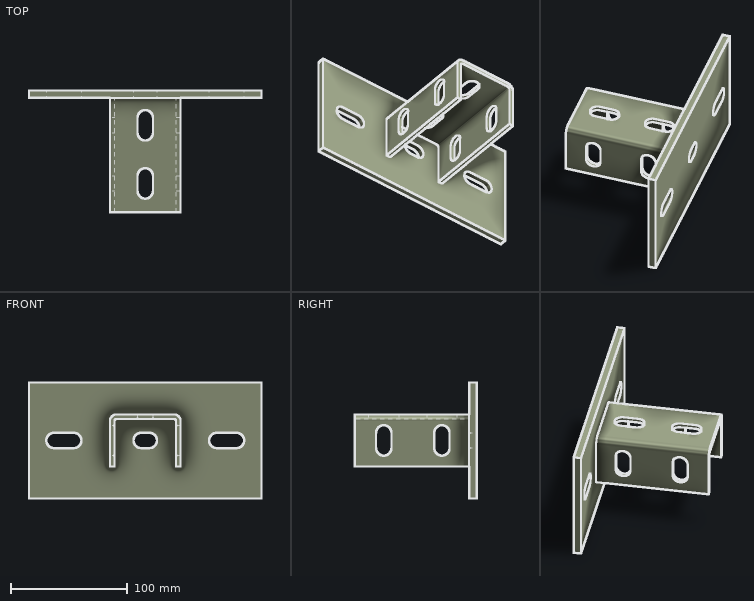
import cadquery as cq

total_depth = 105.0

plate_width = 200.0
plate_height = 100.0
plate_thickness = 6.5
slot_width = 13.0
side_slot_length = 30.0
side_slot_offset = 70.0
centre_slot_length = 20.0

channel_length = total_depth - plate_thickness
channel_width = 61.0
channel_height = 45.0
channel_wall = 4.0
bend_outer_radius = 6.0
bend_inner_radius = bend_outer_radius - channel_wall
channel_slot_length = 26.0
channel_slot_count = 2
channel_slot_pitch = 50.0
end_to_first_slot = 25.0
channel_slot_places = [
    -channel_length + end_to_first_slot + i * channel_slot_pitch
    for i in range(channel_slot_count)
]


def make_plate():
    """Flat plate with a row of three horizontal slots."""
    plate = cq.Workplane("XY").box(
        plate_width, plate_thickness, plate_height, centered=(True, False, True)
    )
    slots = [
        (-side_slot_offset, side_slot_length),
        (0, centre_slot_length),
        (side_slot_offset, side_slot_length),
    ]
    for x, length in slots:
        cutter = (
            cq.Workplane("XZ")
            .center(x, 0)
            .slot2D(length, slot_width)
            .extrude(-plate_thickness)
        )
        plate = plate.cut(cutter)
    return plate


def channel_block(width, height, bottom, bend_radius):
    """Bar along the channel with its two upper long edges rounded."""
    return (
        cq.Workplane("XY")
        .box(width, channel_length, height, centered=(True, False, False))
        .translate((0, -channel_length, bottom))
        .edges("|Y and >Z")
        .fillet(bend_radius)
    )


def make_channel():
    """Bent sheet channel with two slots in its top and two through both sides."""
    bottom = -channel_height / 2
    outside = channel_block(channel_width, channel_height, bottom, bend_outer_radius)
    inside = channel_block(
        channel_width - 2 * channel_wall,
        channel_height - channel_wall,
        bottom,
        bend_inner_radius,
    )
    channel = outside.cut(inside)
    for y in channel_slot_places:
        top_slot = (
            cq.Workplane("XY")
            .center(0, y)
            .slot2D(channel_slot_length, slot_width, angle=90)
            .extrude(channel_height)
        )
        side_slots = (
            cq.Workplane("YZ")
            .center(y, 0)
            .slot2D(channel_slot_length, slot_width, angle=90)
            .extrude(channel_width, both=True)
        )
        channel = channel.cut(top_slot).cut(side_slots)
    return channel


plate = make_plate()
channel = make_channel()

result = cq.Compound.makeCompound([plate.val(), channel.val()])